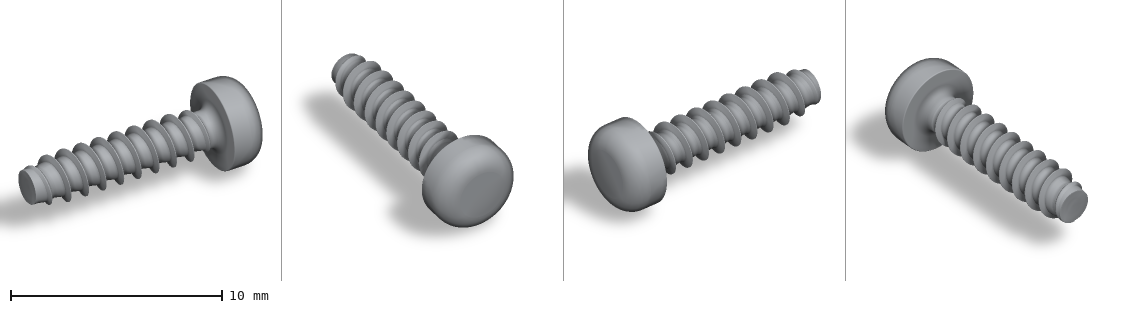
import cadquery as cq
import math


head_radius = 2.2
head_height = 1.9
crown_radius = 0.95
rim_radius = 0.05

shank_length = 10.0
dish_radius = 0.81
dish_depth = 0.06
neck_radius = 0.955
neck_fillet = 0.4
neck_end = 0.65
core_radius = 0.845
core_start = 1.0

pitch = 0.95
crest_radius = 1.25
crest_half_width = 0.02
start_crest_radius = 1.02
end_crest_radius = 0.88
end_lead_radius = 0.855
end_trail_radius = 0.89
buried_radius = 0.78
toe_overlap = 0.006
below_core_radius = core_radius - toe_overlap
lead_toe_offset = -0.31
lead_flank_offset = -0.15
lead_flank_radius = 0.91
trail_flank_offset = 0.14
trail_flank_radius = 0.93
ramp_end_offset = 0.635
start_turns = 1.0
end_turns = 1.5
total_turns = 10.0
thread_start = shank_length - total_turns * pitch
start_angle = -90.0

thread_corners = [
    (lead_toe_offset, buried_radius, buried_radius, buried_radius),
    (lead_toe_offset, below_core_radius, below_core_radius, below_core_radius),
    (lead_flank_offset, lead_flank_radius, lead_flank_radius, end_lead_radius),
    (-crest_half_width, start_crest_radius, crest_radius, end_crest_radius),
    (crest_half_width, start_crest_radius, crest_radius, end_crest_radius),
    (trail_flank_offset, trail_flank_radius, trail_flank_radius, end_trail_radius),
    (ramp_end_offset, below_core_radius, below_core_radius, below_core_radius),
    (ramp_end_offset, buried_radius, buried_radius, buried_radius),
]


def make_body():
    """Head, neck and core as one revolved profile of (radius, z)."""
    diagonal = math.sqrt(0.5)
    crown_mid = (
        head_radius - crown_radius * (1 - diagonal),
        -head_height + crown_radius * (1 - diagonal),
    )
    rim_mid = (
        head_radius - rim_radius * (1 - diagonal),
        -rim_radius * (1 - diagonal),
    )
    neck_mid = (
        neck_radius + neck_fillet * (1 - diagonal),
        neck_fillet * (1 - diagonal),
    )
    profile = (
        cq.Workplane("YZ")
        .moveTo(0, -head_height)
        .lineTo(head_radius - crown_radius, -head_height)
        .threePointArc(crown_mid, (head_radius, -head_height + crown_radius))
        .lineTo(head_radius, -rim_radius)
        .threePointArc(rim_mid, (head_radius - rim_radius, 0))
        .lineTo(neck_radius + neck_fillet, 0)
        .threePointArc(neck_mid, (neck_radius, neck_fillet))
        .lineTo(neck_radius, neck_end)
        .lineTo(core_radius, core_start)
        .lineTo(core_radius, shank_length)
        .lineTo(0, shank_length)
        .close()
    )
    return profile.revolve(360, (0, 0), (0, 1))


def helix_edge(first_radius, last_radius, first_z, turns, turn_before):
    """Helix around z whose radius changes evenly from first to last."""
    rise = turns * pitch
    half_angle = math.atan2(last_radius - first_radius, rise)
    slant = 1 / math.cos(half_angle)
    cone_angle = 360 if first_radius == last_radius else math.degrees(half_angle)
    helix = cq.Wire.makeHelix(
        pitch * slant,
        rise * slant,
        first_radius,
        angle=cone_angle,
    )
    turned = helix.rotate(cq.Vector(), cq.Vector(0, 0, 1), 360 * turn_before)
    return turned.translate(cq.Vector(0, 0, first_z)).Edges()[0]


def thread_section(first_radii, last_radii, turn_before, turns):
    """Faces of one stretch of thread, without its end caps."""
    edges = []
    crest_z = thread_start + turn_before * pitch
    for corner, first, last in zip(thread_corners, first_radii, last_radii):
        first_z = crest_z + corner[0]
        edges.append(helix_edge(first, last, first_z, turns, turn_before))
    following = edges[1:] + edges[:1]
    return [cq.Face.makeRuledSurface(a, b) for a, b in zip(edges, following)]


def thread_cap(radii, turn):
    """Flat end of the thread, in the plane through the axis at that turn."""
    points = []
    crest_z = thread_start + turn * pitch
    for corner, radius in zip(thread_corners, radii):
        points.append(cq.Vector(radius, 0, crest_z + corner[0]))
    face = cq.Face.makeFromWires(cq.Wire.makePolygon(points, close=True))
    return face.rotate(cq.Vector(), cq.Vector(0, 0, 1), 360 * turn)


def make_thread():
    """Thread with a growing start, a full middle and a fading end."""
    start_radii = [corner[1] for corner in thread_corners]
    full_radii = [corner[2] for corner in thread_corners]
    end_radii = [corner[3] for corner in thread_corners]
    full_turns = total_turns - start_turns - end_turns
    faces = [thread_cap(start_radii, 0), thread_cap(end_radii, total_turns)]
    faces += thread_section(start_radii, full_radii, 0, start_turns)
    faces += thread_section(full_radii, full_radii, start_turns, full_turns)
    faces += thread_section(full_radii, end_radii, total_turns - end_turns, end_turns)
    thread = cq.Workplane(cq.Solid.makeSolid(cq.Shell.makeShell(faces)))
    return thread.rotate((0, 0, 0), (0, 0, 1), start_angle)


def trim_past_tip(thread):
    """Remove the part of the thread beyond the end of the shank."""
    waste = (
        cq.Workplane("XY")
        .workplane(offset=shank_length)
        .circle(head_radius)
        .extrude(2 * pitch)
    )
    return thread.cut(waste)


def make_tip_dish():
    """Ball whose cap is the hollow in the end of the shank."""
    ball_radius = (dish_radius**2 + dish_depth**2) / (2 * dish_depth)
    ball_height = shank_length - dish_depth + ball_radius
    return cq.Workplane("XY").sphere(ball_radius).translate((0, 0, ball_height))


thread = trim_past_tip(make_thread())
screw = make_body().union(thread).cut(make_tip_dish())
result = screw.rotate((0, 0, 0), (1, 0, 0), 90)